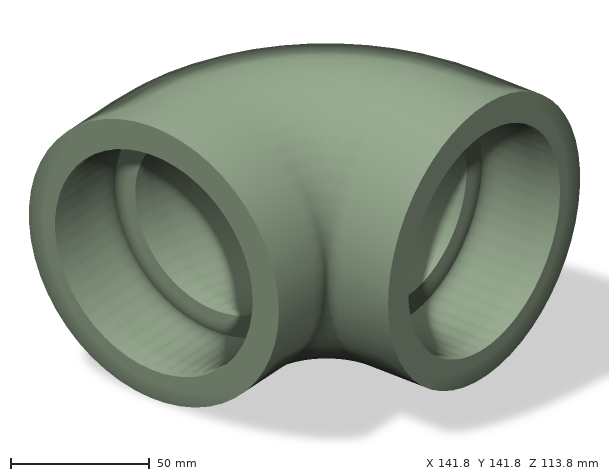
import cadquery as cq
import math

overall_length = 141.8
outer_diameter = 113.8
bend_radius = 57.3
socket_diameter = 90.0
socket_depth = 35.5
bore_diameter = 72.0

leg_length = overall_length - outer_diameter / 2 - bend_radius

y_end = cq.Workplane("XZ", origin=(-bend_radius, -leg_length, 0))
x_end = cq.Workplane("YZ", origin=(leg_length, bend_radius, 0))

bend_middle = bend_radius * math.sqrt(0.5)
centre_line = (
    cq.Workplane("XY")
    .moveTo(-bend_radius, -leg_length)
    .lineTo(-bend_radius, 0)
    .threePointArc((-bend_middle, bend_middle), (0, bend_radius))
    .lineTo(leg_length, bend_radius)
)

result = y_end.circle(outer_diameter / 2).circle(bore_diameter / 2).sweep(centre_line)

for end in (y_end, x_end):
    socket = end.circle(socket_diameter / 2).extrude(-socket_depth)
    result = result.cut(socket)